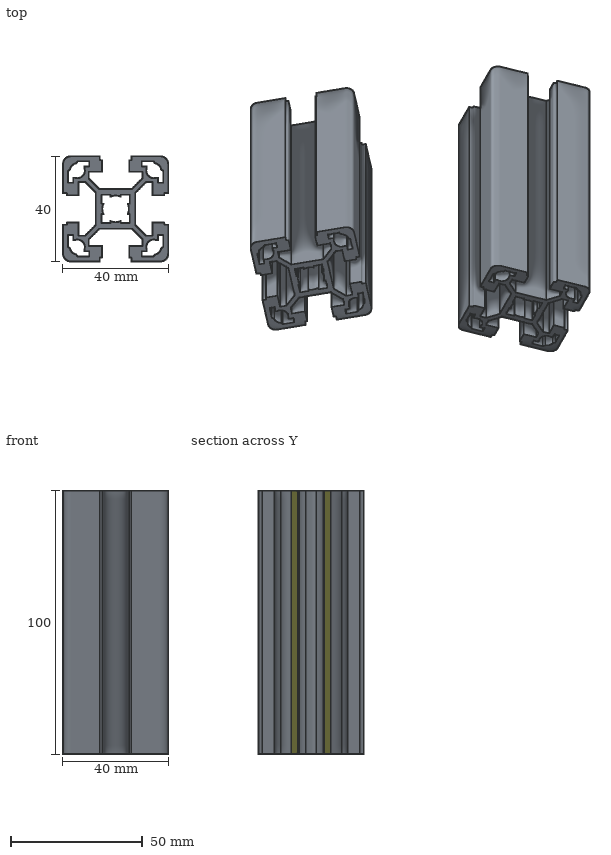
import cadquery as cq
import math

width = 40.0
length = 100.0
corner_radius = 3.0
half_width = width / 2

slot_opening = 10.2
mouth_opening = 12.0
mouth_depth = 1.5
lip_thickness = 6.0
lip_step_radius = 0.3
slot_inner_width = 20.3

core_width = 15.1
web_offset = 1.4

core_hole_width = 10.6
bore_diameter = 10.0
pad_width = 4.0

wall = 2.0
arm_width = 1.9
arm_end = 10.0
corner_hole_inset = 5.5
corner_hole_diameter = 5.6
outer_pad_angle = 70.0
outer_pad_inset = 5.6
inner_pad_angle = 128.0


def quarter_turns(solid):
    """Join a solid with its copies at 90, 180 and 270 degrees about Z."""
    pattern = solid
    for turn in range(1, 4):
        pattern = pattern.union(solid.rotate((0, 0, 0), (0, 0, 1), 90 * turn))
    return pattern


def block(x_start, x_end, y_start, y_end):
    """Full-length rectangular block between the given limits."""
    size_x = x_end - x_start
    size_y = y_end - y_start
    return cq.Workplane("XY").box(size_x, size_y, length, centered=False).translate((x_start, y_start, 0))


def make_slot():
    """T-slot opening through the +Y side, with its floor on the core."""
    core_half = core_width / 2
    floor_half = core_half - web_offset
    inner_half = slot_inner_width / 2
    opening_half = slot_opening / 2
    mouth_half = mouth_opening / 2
    lip_bottom = half_width - lip_thickness
    mouth_bottom = half_width - mouth_depth
    right_side = [
        (floor_half, core_half),
        (inner_half, inner_half + web_offset),
        (inner_half, lip_bottom),
        (opening_half, lip_bottom),
        (opening_half, mouth_bottom),
        (mouth_half, mouth_bottom),
        (mouth_half, half_width),
    ]
    left_side = [(-x, y) for x, y in reversed(right_side)]
    slot = cq.Workplane("XY").polyline(right_side + left_side).close().extrude(length)
    step_reach = mouth_half + lip_step_radius
    step_edges = cq.selectors.BoxSelector(
        (-step_reach, mouth_bottom - lip_step_radius, 0),
        (step_reach, mouth_bottom + lip_step_radius, length),
    )
    return slot.edges("|Z").edges(step_edges).fillet(lip_step_radius)


def make_core_hole():
    """Square hole narrowed at the middle of each side by a pad with a bored face."""
    hole_half = core_hole_width / 2
    pad_half = pad_width / 2
    square = block(-hole_half, hole_half, -hole_half, hole_half)
    pads = quarter_turns(block(0, hole_half, -pad_half, pad_half))
    bore = cq.Workplane("XY").circle(bore_diameter / 2).extrude(length)
    return square.cut(pads).union(bore)


def make_corner_hollow():
    """Hollow of the (+X, +Y) corner, symmetric about the diagonal X = Y."""
    center = half_width - corner_hole_inset
    outer = half_width - wall
    inner = outer - arm_width
    end = half_width - arm_end
    pad_foot = half_width - outer_pad_inset

    def on_circle(degrees):
        """Point on the circle of the pads, at an angle from the outward diagonal."""
        angle = math.radians(45 + degrees)
        radius = corner_hole_diameter / 2
        return (center + radius * math.cos(angle), center + radius * math.sin(angle))

    inner_pad_half = inner_pad_angle / 2
    inner_pad_start = on_circle(180 + inner_pad_half)
    inner_pad_end = on_circle(180 - inner_pad_half)
    return (
        cq.Workplane("XY")
        .moveTo(end, inner)
        .lineTo(end, outer)
        .lineTo(pad_foot, outer)
        .lineTo(*on_circle(outer_pad_angle / 2))
        .threePointArc(on_circle(0), on_circle(-outer_pad_angle / 2))
        .lineTo(outer, pad_foot)
        .lineTo(outer, end)
        .lineTo(inner, end)
        .lineTo(inner, inner_pad_start[1])
        .lineTo(*inner_pad_start)
        .threePointArc(on_circle(180), inner_pad_end)
        .lineTo(inner_pad_end[0], inner)
        .close()
        .extrude(length)
    )


bar = cq.Workplane("XY").rect(width, width).extrude(length).edges("|Z").fillet(corner_radius)
result = (
    bar.cut(quarter_turns(make_slot()))
    .cut(make_core_hole())
    .cut(quarter_turns(make_corner_hollow()))
)